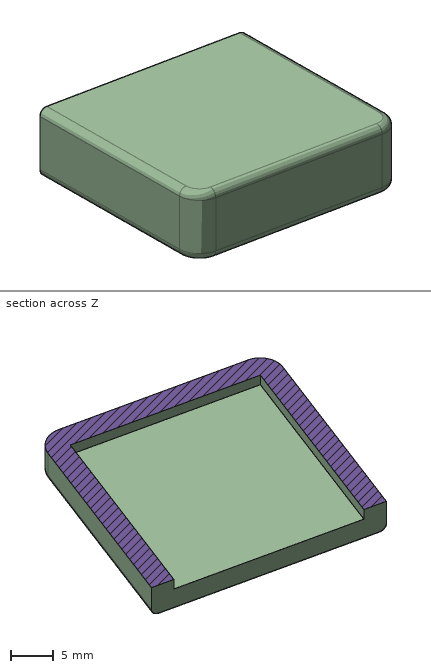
import cadquery as cq

length = 28.64
width = 31.0
height = 9.0
corner_radius = 3.0
edge_radius = 1.0

side_wall = 3.0
end_wall = 3.0
floor = 3.0
roof = 2.0


def make_body():
    """Block with rounded closed-end corners and rounded rims; the open end stays sharp."""
    block = cq.Workplane("XY").box(length, width, height, centered=(False, True, False))
    block = block.edges("|Z and >X").fillet(corner_radius)
    rims = block.faces("<Z or >Z").edges("not <X")
    return rims.fillet(edge_radius)


def make_pocket():
    """Rectangular cavity running from the open end to the end wall."""
    pocket = cq.Workplane("XY").box(
        length - end_wall,
        width - 2 * side_wall,
        height - floor - roof,
        centered=(False, True, False),
    )
    return pocket.translate((0, 0, floor))


result = make_body().cut(make_pocket())